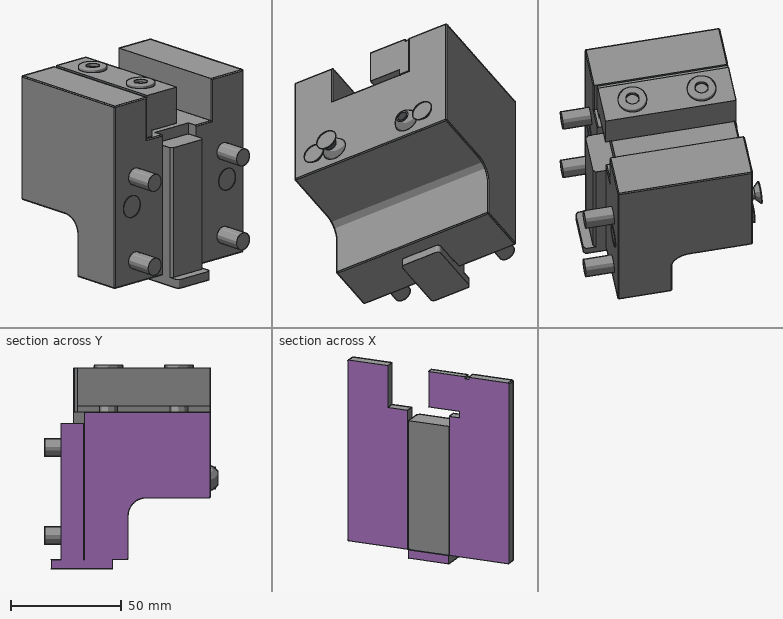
import cadquery as cq


body_length = 62.1
body_width = 80.0
body_height = 86.8
edge_chamfer = 0.5
step_x = 37.2
step_z = 27.9
step_radius = 8.0

groove_width = 39.9
groove_depth = 20.0
groove_floor_z = body_height - groove_depth

jaw_length = 60.2
jaw_gap = 2.9
jaw_lip_width = 4.7
jaw_notch_width = 1.8
jaw_notch_depth = 1.0

bolt_x_first = 14.2
bolt_spacing = 31.9
bolt_y = -9.0
bolt_diameter = 8.1
bolt_head_diameter = 13.0
bolt_head_height = 1.4
bolt_head_rounding = 0.6
bolt_socket_diameter = 6.0

plate_x_min = 44.2
plate_length = 27.9
plate_width = 20.0
plate_thickness = 4.2
plate_corner_radius = 1.7
bar_x_min = 57.35
bar_x_max = 67.7
bar_height = 61.7
bar_corner_chamfer = 1.2
slot_clearance = 0.3

pin_diameter = 8.0
pin_length = 13.0
pin_y = 27.3
pin_heights = (10.9, 50.8)

screw_z = 36.9
dome_y = 18.8
dome_base_radius = 5.7
dome_top_radius = 3.0
dome_mid_radius = 4.8
dome_height = 3.5
dome_socket_diameter = 4.4
cone_y = 28.4
cone_radius = 5.0
cone_neck_radius = 2.6
cone_rim = 0.4
inner_cone_reach = 2.4
outer_cone_reach = 7.5

disc_y = 29.5
disc_diameter = 10.3
disc_thickness = 0.3


def box_between(x_range, y_range, z_range):
    """Box spanning the given ranges along X, Y and Z."""
    size = [high - low for low, high in (x_range, y_range, z_range)]
    return cq.Workplane("XY").box(*size, centered=False).translate((x_range[0], y_range[0], z_range[0]))


def rod_along_x(x_start, y, z, diameter, length):
    """Cylinder that runs from x_start toward +X."""
    return cq.Workplane("YZ", origin=(x_start, y, z)).circle(diameter / 2).extrude(length)


def make_body():
    """Stepped block with the top groove, its end and side faces edged by a chamfer."""
    profile = (
        cq.Workplane("XZ", origin=(0, body_width / 2, 0))
        .moveTo(step_x, 0)
        .lineTo(body_length, 0)
        .lineTo(body_length, body_height)
        .lineTo(0, body_height)
        .lineTo(0, step_z)
        .lineTo(step_x - step_radius, step_z)
        .radiusArc((step_x, step_z - step_radius), step_radius)
        .close()
    )
    half_groove = groove_width / 2
    groove = box_between((0, body_length), (-half_groove, half_groove), (groove_floor_z, body_height))
    body = profile.extrude(body_width).cut(groove)
    step_bottom_edge = cq.selectors.NearestToPointSelector((step_x, 0, 0))
    outer_edges = body.faces("<X or >X or <Y or >Y").edges()
    return outer_edges.add(body.edges(step_bottom_edge)).chamfer(edge_chamfer)


def make_bar_slot():
    """Slot in the right face, open at the groove floor and at the underside."""
    half_slot = plate_width / 2 + slot_clearance
    return box_between((bar_x_min - slot_clearance, body_length), (-half_slot, half_slot), (0, groove_floor_z))


def make_foot():
    """Foot plate under the block with the upright bar on it."""
    half_width = plate_width / 2
    plate = box_between(
        (plate_x_min, plate_x_min + plate_length), (-half_width, half_width), (-plate_thickness, 0)
    ).edges("|Z").fillet(plate_corner_radius)
    bar = box_between((bar_x_min, bar_x_max), (-half_width, half_width), (0, bar_height))
    return plate.union(bar.edges("|Z and >X").chamfer(bar_corner_chamfer))


def make_jaw():
    """Clamp jaw with a lip down to the groove floor and a notch along the groove wall."""
    wall_y = -groove_width / 2
    lip_y = wall_y + jaw_lip_width
    underside_z = groove_floor_z + jaw_gap
    notch_y = wall_y + jaw_notch_width
    notch_z = body_height - jaw_notch_depth
    outline = [
        (0, underside_z),
        (0, body_height),
        (notch_y, body_height),
        (notch_y, notch_z),
        (wall_y, notch_z),
        (wall_y, groove_floor_z),
        (lip_y, groove_floor_z),
        (lip_y, underside_z),
    ]
    return cq.Workplane("YZ").polyline(outline).close().extrude(jaw_length)


def make_bolt(x):
    """Clamp bolt from the groove floor up to a rounded, socketed head."""
    shank = (
        cq.Workplane("XY", origin=(x, bolt_y, groove_floor_z))
        .circle(bolt_diameter / 2)
        .extrude(groove_depth)
    )
    head = (
        cq.Workplane("XY", origin=(x, bolt_y, body_height))
        .circle(bolt_head_diameter / 2)
        .extrude(bolt_head_height)
        .edges(">Z")
        .fillet(bolt_head_rounding)
        .faces(">Z")
        .workplane()
        .hole(bolt_socket_diameter, bolt_head_height)
    )
    return shank.union(head)


def make_dome(y):
    """Round screw head with a flat top on the left face."""
    return (
        cq.Workplane("XY")
        .lineTo(0, dome_base_radius)
        .threePointArc((-dome_height / 2, dome_mid_radius), (-dome_height, dome_top_radius))
        .lineTo(-dome_height, 0)
        .close()
        .revolve(360, (0, 0, 0), (1, 0, 0))
        .translate((0, y, screw_z))
    )


def make_cone_screw(y, reach):
    """Screw standing out of the left face by reach, with a 45 degree head flaring outward."""
    neck_x = -reach + cone_rim + cone_radius - cone_neck_radius
    outline = [
        (-reach, 0),
        (-reach, cone_radius),
        (-reach + cone_rim, cone_radius),
        (neck_x, cone_neck_radius),
        (edge_chamfer, cone_neck_radius),
        (edge_chamfer, 0),
    ]
    return (
        cq.Workplane("XY")
        .polyline(outline)
        .close()
        .revolve(360, (0, 0, 0), (1, 0, 0))
        .translate((0, y, screw_z))
    )


result = make_body().cut(make_bar_slot()).union(make_foot()).union(make_jaw())

for bolt_index in range(2):
    result = result.union(make_bolt(bolt_x_first + bolt_index * bolt_spacing))

for side in (-1, 1):
    for pin_z in pin_heights:
        result = result.union(rod_along_x(body_length, side * pin_y, pin_z, pin_diameter, pin_length))
    result = result.union(rod_along_x(body_length, side * disc_y, screw_z, disc_diameter, disc_thickness))
    result = result.union(make_dome(side * dome_y))
    result = result.union(make_cone_screw(side * cone_y, inner_cone_reach))

result = result.union(make_cone_screw(dome_y, outer_cone_reach))
result = result.cut(rod_along_x(-dome_height, -dome_y, screw_z, dome_socket_diameter, dome_height))